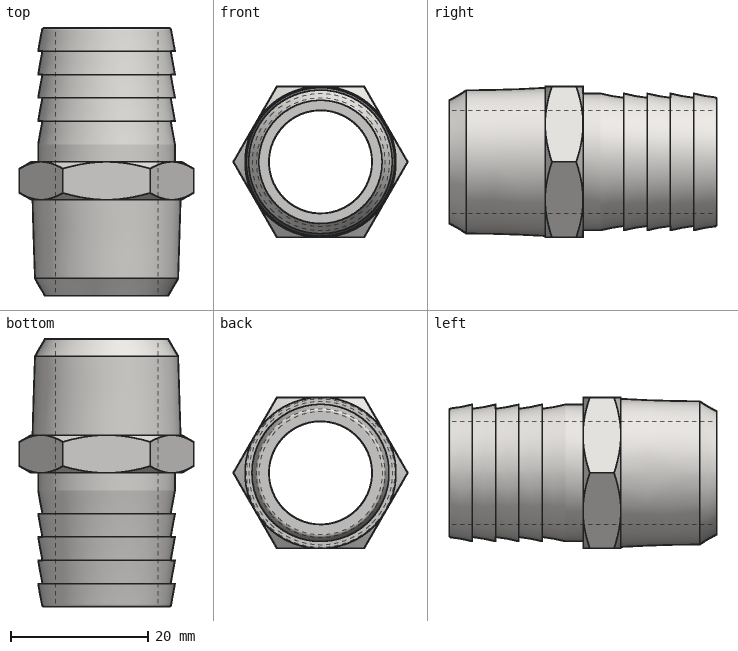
import cadquery as cq
import math

total_length = 39.0
bore_radius = 7.5

nose_radius = 8.97
nose_length = 2.55
thread_length = 14.0
thread_root_radius = 10.8
thread_taper = 1 / 16

hex_across_flats = 22.0
hex_thickness = 5.5
hex_chamfer_angle = 30.0

barb_count = 5
barb_pitch = 3.4
barb_crest_radius = 10.0
barb_root_radius = 9.35
tip_fillet = 0.4

hex_end = thread_length + hex_thickness
barb_start = total_length - barb_count * barb_pitch
thread_tip_radius = thread_root_radius - thread_taper / 2 * (thread_length - nose_length)


def revolve_profile(points):
    """Revolve a closed (radius, Y) outline around the Y axis."""
    return cq.Workplane("XY").polyline(points).close().revolve(360, (0, 0, 0), (0, 1, 0))


def make_thread_end():
    return revolve_profile([
        (0, 0),
        (nose_radius, 0),
        (thread_tip_radius, nose_length),
        (thread_root_radius, thread_length),
        (0, thread_length),
    ])


def make_hex_collar():
    corner_radius = hex_across_flats / math.sqrt(3)
    flat_radius = hex_across_flats / 2
    drop = (corner_radius - flat_radius) * math.tan(math.radians(hex_chamfer_angle))
    prism = (
        cq.Workplane("XZ", origin=(0, hex_end, 0))
        .polygon(6, 2 * corner_radius)
        .extrude(hex_thickness)
    )
    envelope = revolve_profile([
        (0, thread_length),
        (flat_radius, thread_length),
        (corner_radius, thread_length + drop),
        (corner_radius, hex_end - drop),
        (flat_radius, hex_end),
        (0, hex_end),
    ])
    return prism.intersect(envelope)


def make_hose_end():
    points = [(0, hex_end), (barb_crest_radius, hex_end)]
    for i in range(barb_count):
        barb_base = barb_start + i * barb_pitch
        points.append((barb_crest_radius, barb_base))
        points.append((barb_root_radius, barb_base + barb_pitch))
    points.append((0, total_length))
    return revolve_profile(points).faces(">Y").edges().fillet(tip_fillet)


bore = cq.Workplane("XZ").circle(bore_radius).extrude(-total_length)

result = make_thread_end().union(make_hex_collar()).union(make_hose_end()).cut(bore)